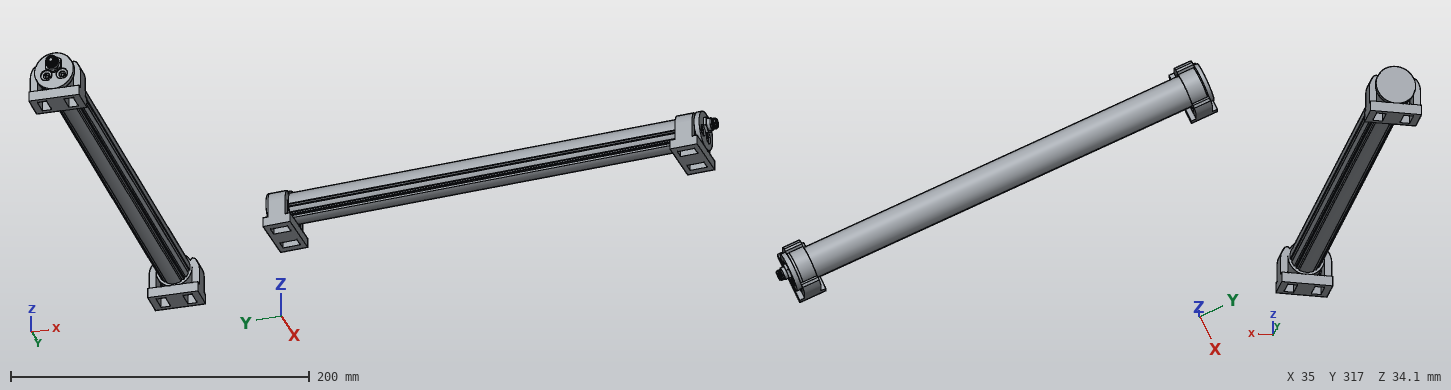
import cadquery as cq
import math

TOTAL_HEIGHT = 34.07
TOTAL_LENGTH = 317.02

BASE_WIDTH = 35.0
BASE_DEPTH = 19.3
BASE_HEIGHT = 7.0
ARM_DEPTH = 12.2
ARM_SETBACK = (BASE_DEPTH - ARM_DEPTH) / 2
ARM_INNER_X = 12.6
POCKET_CORE_WIDTH = 12.0
ARM_ARC_START_Z = 19.2
ARM_ARC_RADIUS = 13.0
ARM_ARC_END = (14.6, 27.0)
ARM_PEAK = (12.7, 27.8)
ARM_LIP_END = (11.0, 26.2)

FLANGE_RADIUS = 13.5
AXIS_Z = TOTAL_HEIGHT - FLANGE_RADIUS
COLLAR_RADIUS = 12.5
CAP_RADIUS = 12.4
COVER_RADIUS = 11.2
COVER_EDGE_Z = 18.6
PROFILE_RADIUS = 10.7
FRONT_FLANGE_THICKNESS = ARM_SETBACK
REAR_FLANGE_THICKNESS = 3.0
FRONT_CAP_LENGTH = 1.8
REAR_CAP_LENGTH = 0.8

TUBE_GROOVES = [(17.0, 5.0), (44.0, 4.0), (57.0, 6.0)]
GROOVE_DEPTH = 0.8
GROOVE_OVERSHOOT = 0.2

CONNECTOR_Z = 25.0
NUT_ACROSS_CORNERS = 12.0
NUT_LENGTH = 1.9
NECK_RADIUS = 4.3
NECK_LENGTH = 2.4
THREAD_RADIUS = 3.7
THREAD_ROOT_RADIUS = 3.1
THREAD_LENGTH = 3.6
THREAD_RIDGES = 2
SOCKET_RADIUS = 2.4
SOCKET_DEPTH = 3.0
CONTACT_RADIUS = 1.4
CONNECTOR_LENGTH = NUT_LENGTH + NECK_LENGTH + THREAD_LENGTH

SCREW_X = 5.4
SCREW_Z = 17.9
RECESS_RADIUS = 3.9
RECESS_DEPTH = 1.0
SCREW_HOLE_RADIUS = 2.2
SCREW_HOLE_DEPTH = 2.0
HEX_KEY_ACROSS_CORNERS = 2.6
HEX_KEY_DEPTH = 3.0

BODY_LENGTH = TOTAL_LENGTH - CONNECTOR_LENGTH
FRONT_ARM_Y = ARM_SETBACK
REAR_ARM_Y = BODY_LENGTH - BASE_DEPTH + ARM_SETBACK


def plane_at(y, x=0.0, z=0.0):
    """Sketch plane facing -Y, with local x along X and local y along Z."""
    return cq.Plane(origin=(x, y, z), xDir=(1, 0, 0), normal=(0, -1, 0))


def cylinder(radius, y_start, length, x=0.0, z=AXIS_Z):
    """Cylinder along +Y starting at y_start."""
    return cq.Workplane(plane_at(y_start, x, z)).circle(radius).extrude(-length)


def hexagon(across_corners, y_start, length, x, z):
    """Hexagonal prism along +Y with a corner pointing up."""
    sketch = cq.Workplane(plane_at(y_start, x, z)).transformed(rotate=(0, 0, 90))
    return sketch.polygon(6, across_corners).extrude(-length)


def clamp_arm(y_start):
    """Arm on the +X side: straight outside, rounded shoulder, lip sloping onto the collar."""
    half_width = BASE_WIDTH / 2
    return (
        cq.Workplane(plane_at(y_start))
        .moveTo(ARM_INNER_X, 0)
        .lineTo(half_width, 0)
        .lineTo(half_width, ARM_ARC_START_Z)
        .radiusArc(ARM_ARC_END, -ARM_ARC_RADIUS)
        .lineTo(*ARM_PEAK)
        .lineTo(*ARM_LIP_END)
        .lineTo(ARM_LIP_END[0], AXIS_Z)
        .lineTo(ARM_INNER_X, AXIS_Z)
        .close()
        .extrude(-ARM_DEPTH)
    )


def foot(base_y):
    """Base plate with a mirrored pair of clamp arms and open pockets between them."""
    base = cq.Workplane("XY").box(BASE_WIDTH, BASE_DEPTH, BASE_HEIGHT, centered=(True, False, False))
    base = base.translate((0, base_y, 0))
    arm = clamp_arm(base_y + ARM_SETBACK)
    pocket_start = POCKET_CORE_WIDTH / 2
    pocket = cq.Workplane("XY").box(ARM_INNER_X - pocket_start, ARM_DEPTH, BASE_HEIGHT, centered=False)
    pocket = pocket.translate((pocket_start, base_y + ARM_SETBACK, 0))
    base = base.cut(pocket).cut(pocket.mirror("YZ"))
    return base.union(arm).union(arm.mirror("YZ"))


def tube_groove(angle, half_angle):
    """V groove on the +X side of the lower profile, running from foot to foot."""

    def point(radius, degrees):
        turn = math.radians(degrees)
        return (radius * math.cos(turn), AXIS_Z - radius * math.sin(turn))

    y_start = FRONT_ARM_Y + ARM_DEPTH
    outer = PROFILE_RADIUS + GROOVE_OVERSHOOT
    corners = [
        point(PROFILE_RADIUS - GROOVE_DEPTH, angle),
        point(PROFILE_RADIUS, angle - half_angle),
        point(outer, angle - half_angle),
        point(outer, angle + half_angle),
        point(PROFILE_RADIUS, angle + half_angle),
    ]
    return cq.Workplane(plane_at(y_start)).polyline(corners).close().extrude(y_start - REAR_ARM_Y)


def tube():
    """Round tube: grooved lower profile under a slightly wider round cover."""
    length = REAR_ARM_Y + ARM_DEPTH - FRONT_ARM_Y
    profile = cylinder(PROFILE_RADIUS, FRONT_ARM_Y, length)
    for angle, half_angle in TUBE_GROOVES:
        groove = tube_groove(angle, half_angle)
        profile = profile.cut(groove).cut(groove.mirror("YZ"))
    half_width = math.sqrt(COVER_RADIUS**2 - (AXIS_Z - COVER_EDGE_Z) ** 2)
    cover = (
        cq.Workplane(plane_at(FRONT_ARM_Y))
        .moveTo(-half_width, COVER_EDGE_Z)
        .threePointArc((0, AXIS_Z + COVER_RADIUS), (half_width, COVER_EDGE_Z))
        .close()
        .extrude(-length)
    )
    return profile.union(cover)


def front_cap():
    """Flange, cap rim and clamp collar at the front end."""
    collar_y = FRONT_ARM_Y + FRONT_CAP_LENGTH
    flange = cylinder(FLANGE_RADIUS, 0, FRONT_FLANGE_THICKNESS)
    rim = cylinder(CAP_RADIUS, FRONT_ARM_Y, FRONT_CAP_LENGTH)
    collar = cylinder(COLLAR_RADIUS, collar_y, ARM_DEPTH - FRONT_CAP_LENGTH)
    return flange.union(rim).union(collar)


def rear_cap():
    """Clamp collar, cap rim and flange at the rear end."""
    flange_y = REAR_ARM_Y + ARM_DEPTH
    collar = cylinder(COLLAR_RADIUS, REAR_ARM_Y, ARM_DEPTH - REAR_CAP_LENGTH)
    rim = cylinder(CAP_RADIUS, flange_y - REAR_CAP_LENGTH, REAR_CAP_LENGTH)
    flange = cylinder(FLANGE_RADIUS, flange_y, REAR_FLANGE_THICKNESS)
    return collar.union(rim).union(flange)


def connector():
    """Hexagon nut, plain neck and ridged thread with a socket and a centre contact."""
    tip_y = -CONNECTOR_LENGTH
    nut = hexagon(NUT_ACROSS_CORNERS, -NUT_LENGTH, NUT_LENGTH, 0, CONNECTOR_Z)
    neck = cylinder(NECK_RADIUS, -NUT_LENGTH - NECK_LENGTH, NECK_LENGTH, z=CONNECTOR_Z)
    body = nut.union(neck)
    body = body.union(cylinder(THREAD_ROOT_RADIUS, tip_y, THREAD_LENGTH, z=CONNECTOR_Z))
    pitch = THREAD_LENGTH / (2 * THREAD_RIDGES)
    for ridge in range(THREAD_RIDGES):
        ridge_y = tip_y + (2 * ridge + 1) * pitch
        body = body.union(cylinder(THREAD_RADIUS, ridge_y, pitch, z=CONNECTOR_Z))
    body = body.cut(cylinder(SOCKET_RADIUS, tip_y, SOCKET_DEPTH, z=CONNECTOR_Z))
    return body.union(cylinder(CONTACT_RADIUS, tip_y, SOCKET_DEPTH, z=CONNECTOR_Z))


def screw_recess(x):
    """Stepped round recess ending in a hexagon key socket."""
    recess = cylinder(RECESS_RADIUS, 0, RECESS_DEPTH, x, SCREW_Z)
    hole = cylinder(SCREW_HOLE_RADIUS, 0, SCREW_HOLE_DEPTH, x, SCREW_Z)
    key = hexagon(HEX_KEY_ACROSS_CORNERS, 0, HEX_KEY_DEPTH, x, SCREW_Z)
    return recess.union(hole).union(key)


result = tube().union(front_cap()).union(rear_cap())
for foot_y in (0, BODY_LENGTH - BASE_DEPTH):
    result = result.union(foot(foot_y))
for screw_x in (-SCREW_X, SCREW_X):
    result = result.cut(screw_recess(screw_x))
result = result.union(connector())